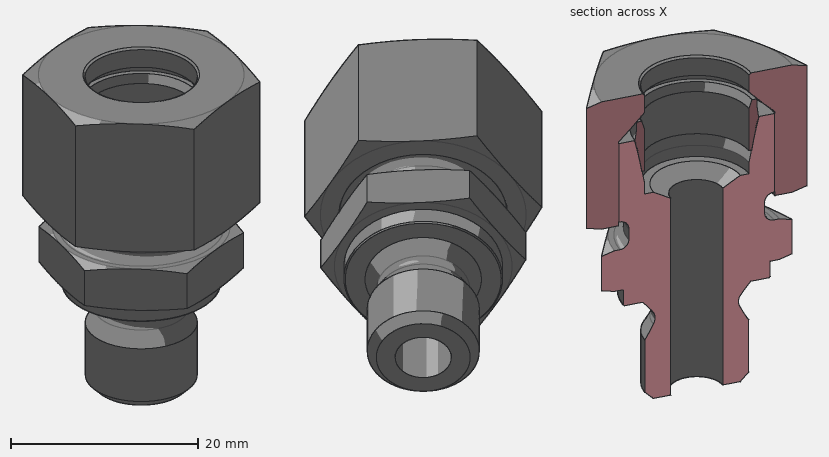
import cadquery as cq
import math

total_height = 37.5
nut_bottom_z = 21.9
hex_top_z = 19.0
hex_bottom_z = 14.0
collar_bottom_z = 12.0

nut_flats = 22.0
body_hex_flats = 19.0
corner_chamfer_angle = 15.0

stud_diameter = 12.0
stud_chamfer = 0.98
stud_shoulder_z = 7.4
groove_lower_z = 9.15
groove_upper_z = 10.45
groove_lower_radius = 5.02
groove_upper_radius = 5.0
groove_floor_radius = 4.85
groove_top_radius = 6.22
collar_diameter = 17.0
collar_chamfer = 0.15

neck_diameter = 15.7
neck_length = 1.3
neck_fillet = 1.0
thread_diameter = 18.0
thread_top_z = 32.0

bore_diameter = 6.0
tube_diameter = 12.0
countersink_diameter = 10.0
countersink_angle = 60.0
socket_floor_z = 25.25
seat_half_angle = 12.0
seat_mouth_diameter = 14.3

nut_bore_diameter = 12.0
nut_rim_chamfer = 0.22
pressing_cone_top_z = 35.15

ring_rear_diameter = 13.88
ring_mouth_diameter = 12.68
ring_mouth_angle = 18.0
ring_nose_wall = 0.3


def tan_deg(angle):
    return math.tan(math.radians(angle))


def revolve_profile(profile):
    """Turn a profile drawn as (radius, height) around the Z axis."""
    return profile.close().revolve(360, (0, 0, 0), (0, 1, 0))


def chamfered_hexagon(flats, bottom_z, top_z):
    """Hexagonal prism with flats facing +X and -X, its corners turned off by shallow cones."""
    corner_diameter = flats / math.cos(math.radians(30))
    flat_radius = flats / 2
    corner_radius = corner_diameter / 2
    drop = (corner_radius - flat_radius) * tan_deg(corner_chamfer_angle)
    prism = (
        cq.Workplane("XY")
        .workplane(offset=bottom_z)
        .polygon(6, corner_diameter)
        .extrude(top_z - bottom_z)
        .rotate((0, 0, 0), (0, 0, 1), 30)
    )
    envelope = revolve_profile(
        cq.Workplane("XZ")
        .moveTo(0, bottom_z)
        .lineTo(flat_radius, bottom_z)
        .lineTo(corner_radius, bottom_z + drop)
        .lineTo(corner_radius, top_z - drop)
        .lineTo(flat_radius, top_z)
        .lineTo(0, top_z)
    )
    return prism.intersect(envelope)


tube_radius = tube_diameter / 2
seat_mouth_radius = seat_mouth_diameter / 2
seat_bottom_z = thread_top_z - (seat_mouth_radius - tube_radius) / tan_deg(seat_half_angle)
ring_rear_radius = ring_rear_diameter / 2
ring_rear_z = pressing_cone_top_z - (ring_rear_radius - nut_bore_diameter / 2)


def make_body():
    stud_radius = stud_diameter / 2
    collar_radius = collar_diameter / 2
    neck_radius = neck_diameter / 2
    thread_radius = thread_diameter / 2
    groove_middle_z = (groove_lower_z + groove_upper_z) / 2
    fillet_end_radius = neck_radius + neck_fillet
    middle_rise = neck_fillet * math.sin(math.radians(45))
    fillet_middle_radius = fillet_end_radius - middle_rise
    neck_bottom_z = hex_top_z + neck_fillet
    neck_top_z = neck_bottom_z + neck_length

    turned = revolve_profile(
        cq.Workplane("XZ")
        .moveTo(0, 0)
        .lineTo(stud_radius - stud_chamfer, 0)
        .lineTo(stud_radius, stud_chamfer)
        .lineTo(stud_radius, stud_shoulder_z)
        .lineTo(groove_lower_radius, groove_lower_z)
        .threePointArc((groove_floor_radius, groove_middle_z), (groove_upper_radius, groove_upper_z))
        .lineTo(groove_top_radius, collar_bottom_z)
        .lineTo(collar_radius - collar_chamfer, collar_bottom_z)
        .lineTo(collar_radius, collar_bottom_z + collar_chamfer)
        .lineTo(collar_radius, hex_top_z)
        .lineTo(fillet_end_radius, hex_top_z)
        .threePointArc((fillet_middle_radius, neck_bottom_z - middle_rise), (neck_radius, neck_bottom_z))
        .lineTo(neck_radius, neck_top_z)
        .threePointArc(
            (fillet_middle_radius, neck_top_z + middle_rise),
            (fillet_end_radius, neck_top_z + neck_fillet),
        )
        .lineTo(thread_radius, neck_top_z + neck_fillet)
        .lineTo(thread_radius, thread_top_z)
        .lineTo(0, thread_top_z)
    )
    bore_radius = bore_diameter / 2
    countersink_radius = countersink_diameter / 2
    countersink_depth = (countersink_radius - bore_radius) / tan_deg(countersink_angle)
    passage = revolve_profile(
        cq.Workplane("XZ")
        .moveTo(0, 0)
        .lineTo(bore_radius, 0)
        .lineTo(bore_radius, socket_floor_z - countersink_depth)
        .lineTo(countersink_radius, socket_floor_z)
        .lineTo(tube_radius, socket_floor_z)
        .lineTo(tube_radius, seat_bottom_z)
        .lineTo(seat_mouth_radius, thread_top_z)
        .lineTo(0, thread_top_z)
    )
    hexagon = chamfered_hexagon(body_hex_flats, hex_bottom_z, hex_top_z)
    return turned.union(hexagon).cut(passage)


def make_nut():
    bore_radius = nut_bore_diameter / 2
    thread_radius = thread_diameter / 2
    pressing_cone_bottom_z = pressing_cone_top_z - (thread_radius - bore_radius)
    cavity = revolve_profile(
        cq.Workplane("XZ")
        .moveTo(0, nut_bottom_z)
        .lineTo(thread_radius, nut_bottom_z)
        .lineTo(thread_radius, pressing_cone_bottom_z)
        .lineTo(bore_radius, pressing_cone_top_z)
        .lineTo(bore_radius, total_height - nut_rim_chamfer)
        .lineTo(bore_radius + nut_rim_chamfer, total_height)
        .lineTo(0, total_height)
    )
    return chamfered_hexagon(nut_flats, nut_bottom_z, total_height).cut(cavity)


def make_cutting_ring():
    mouth_radius = ring_mouth_diameter / 2
    mouth_depth = (mouth_radius - tube_radius) / tan_deg(ring_mouth_angle)
    nose_radius = tube_radius + ring_nose_wall
    nose_z = seat_bottom_z + ring_nose_wall / tan_deg(seat_half_angle)
    return revolve_profile(
        cq.Workplane("XZ")
        .moveTo(tube_radius, nose_z)
        .lineTo(nose_radius, nose_z)
        .lineTo(seat_mouth_radius, thread_top_z)
        .lineTo(ring_rear_radius, ring_rear_z)
        .lineTo(mouth_radius, ring_rear_z)
        .lineTo(tube_radius, ring_rear_z - mouth_depth)
    )


body = make_body()
nut = make_nut()
cutting_ring = make_cutting_ring()

result = cq.Compound.makeCompound([body.val(), nut.val(), cutting_ring.val()])